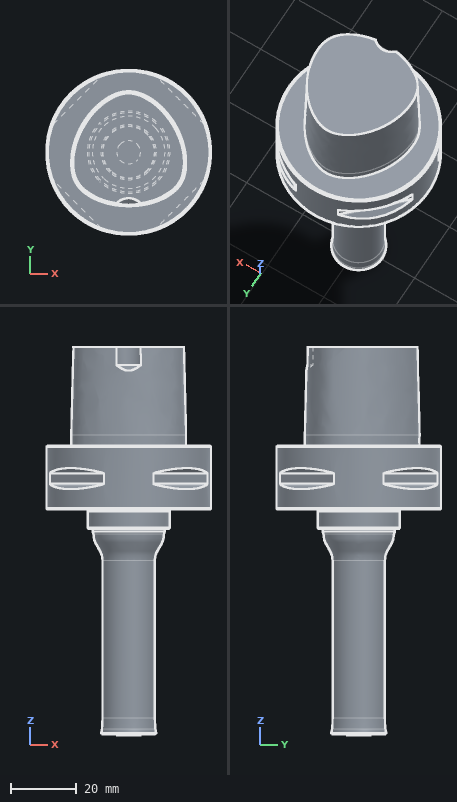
import cadquery as cq
import math

total_height = 118.0
taper_bottom = 91.2
flange_top = 88.0
flange_bottom = 68.5

flange_radius = 25.0
flange_chamfer = 0.5
shank_radius = 17.5
shank_top_radius = 16.82
lobe_height = 1.1
section_points = 36

notch_radius = 5.0
notch_axis_y = -18.9
notch_depth = 5.5
notch_tip_height = 4.2

slot_count = 4
slot_first_angle = 45.0
slot_floor_distance = 22.2
slot_center_z = 78.0
slot_floor_width = 3.1
slot_corner_bevel = 0.4
slot_side_angle = 28.0

collar_radius = 12.5
collar_bottom = 62.7
collar_chamfer = 0.5
ring_radius = 11.0
ring_chamfer_bottom = 62.0
cone_radius = 10.7
cone_rim_bottom = 61.2
cone_middle_radius = 9.4
cone_middle_z = 57.2
cone_foot_z = 53.1
shaft_radius = 7.96
tip_flare_top = 5.4
tip_flare_bottom = 2.0
tip_flare_radius = 8.1
tip_radius = 8.4
tip_rim_z = 0.8
tip_chamfer = 0.6
tip_face_radius = 3.5
tip_face_height = 0.4


def lobed_section(mean_radius, z):
    """Closed constant-width curve with three lobes, one of them on +Y."""
    def point(angle):
        radial = mean_radius + lobe_height * math.sin(-3 * angle)
        sideways = -3 * lobe_height * math.cos(3 * angle)
        return (
            radial * math.cos(angle) - sideways * math.sin(angle),
            radial * math.sin(angle) + sideways * math.cos(angle),
        )

    points = [point(2 * math.pi * index / section_points) for index in range(section_points)]
    return cq.Workplane("XY", origin=(0, 0, z)).spline(points, periodic=True).wire()


def make_shank():
    straight = lobed_section(shank_radius, flange_top).extrude(taper_bottom - flange_top)
    large_end = lobed_section(shank_radius, taper_bottom).val()
    small_end = lobed_section(shank_top_radius, total_height).val()
    taper = cq.Solid.makeLoft([large_end, small_end], True)
    return straight.union(cq.Workplane(taper))


def make_notch():
    """Vertical drilled hole with a conical tip, opening on the -Y side."""
    shoulder_z = total_height - notch_depth
    return (
        cq.Workplane("XZ", origin=(0, notch_axis_y, 0))
        .moveTo(0, total_height)
        .lineTo(notch_radius, total_height)
        .lineTo(notch_radius, shoulder_z)
        .lineTo(0, shoulder_z - notch_tip_height)
        .close()
        .revolve(360, (0, 0, 0), (0, 1, 0))
    )


def make_slot(angle):
    """Straight slot across the flange rim whose sides flare outward."""
    side_start = slot_floor_distance + slot_corner_bevel
    half_floor = slot_floor_width / 2
    half_side_start = half_floor + slot_corner_bevel
    half_mouth = half_side_start + (flange_radius - side_start) * math.tan(math.radians(slot_side_angle))
    return (
        cq.Workplane("XZ")
        .polyline([
            (slot_floor_distance, slot_center_z - half_floor),
            (side_start, slot_center_z - half_side_start),
            (flange_radius, slot_center_z - half_mouth),
            (flange_radius, slot_center_z + half_mouth),
            (side_start, slot_center_z + half_side_start),
            (slot_floor_distance, slot_center_z + half_floor),
        ])
        .close()
        .extrude(flange_radius, both=True)
        .rotate((0, 0, 0), (0, 0, 1), angle)
    )


def make_holder():
    holder = (
        cq.Workplane("XY", origin=(0, 0, flange_bottom))
        .circle(flange_radius)
        .extrude(flange_top - flange_bottom)
        .edges()
        .chamfer(flange_chamfer)
    )
    for index in range(slot_count):
        holder = holder.cut(make_slot(slot_first_angle + index * 360 / slot_count))
    return holder.union(make_shank()).cut(make_notch())


def make_arbor():
    """Turned arbor whose collar seats against the underside of the flange."""
    return (
        cq.Workplane("XZ")
        .polyline([
            (0, flange_bottom),
            (collar_radius - collar_chamfer, flange_bottom),
            (collar_radius, flange_bottom - collar_chamfer),
            (collar_radius, collar_bottom + collar_chamfer),
            (collar_radius - collar_chamfer, collar_bottom),
            (ring_radius, collar_bottom),
            (ring_radius, ring_chamfer_bottom),
            (cone_radius, cone_rim_bottom),
        ])
        .spline(
            [(cone_middle_radius, cone_middle_z), (shaft_radius, cone_foot_z)],
            tangents=[(0, -1), (0, -1)],
            includeCurrent=True,
        )
        .polyline([
            (shaft_radius, tip_flare_top),
            (tip_flare_radius, tip_flare_bottom),
            (tip_radius, tip_rim_z),
            (tip_radius - tip_chamfer, tip_face_height),
            (tip_face_radius, tip_face_height),
            (tip_face_radius, 0),
            (0, 0),
        ], includeCurrent=True)
        .close()
        .revolve(360, (0, 0, 0), (0, 1, 0))
    )


holder = make_holder()
arbor = make_arbor()

result = cq.Compound.makeCompound([holder.val(), arbor.val()])